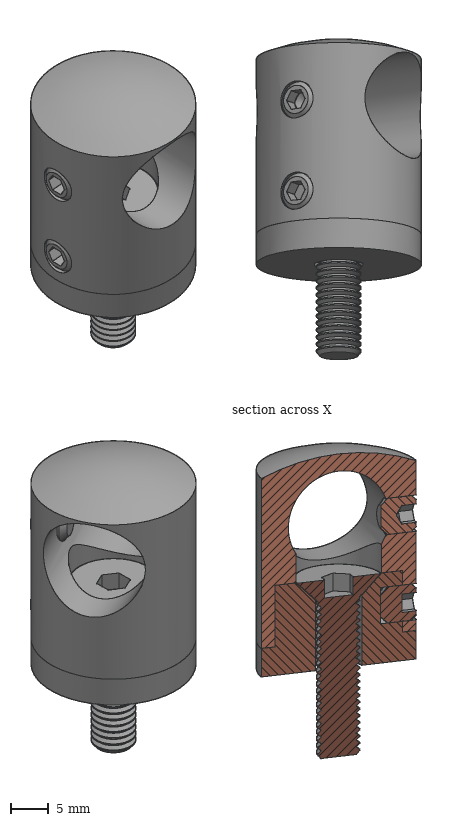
import cadquery as cq
import math

BODY_DIAMETER = 22.0
BODY_RADIUS = BODY_DIAMETER / 2
TOTAL_HEIGHT = 42.45
BASE_BOTTOM = 12.4
BASE_THICKNESS = 4.0
BASE_TOP = BASE_BOTTOM + BASE_THICKNESS
DOME_HEIGHT = 2.2
DOME_EDGE = TOTAL_HEIGHT - DOME_HEIGHT

CROSS_HOLE_DIAMETER = 14.2
CROSS_HOLE_HEIGHT = 32.85

SPIGOT_DIAMETER = 18.0
SPIGOT_TOP = 25.0
ACCESS_BORE_DIAMETER = 12.0

SCREW_HEAD_DIAMETER = 11.9
THREAD_DIAMETER = 6.0
THREAD_ROOT_DIAMETER = 5.0
CLEARANCE_DIAMETER = 6.5
SCREW_HEAD_HEIGHT = (SCREW_HEAD_DIAMETER - THREAD_DIAMETER) / 2
SCREW_HEX_FLATS = 4.0
SCREW_HEX_DEPTH = 2.5
EXPOSED_THREAD_LENGTH = 11.45
EXPOSED_THREAD_RINGS = 12
THREAD_PITCH = EXPOSED_THREAD_LENGTH / EXPOSED_THREAD_RINGS
CREST_WIDTH = 0.15
TIP_CHAMFER_HEIGHT = 0.55

SET_SCREW_DIAMETER = 5.0
SET_SCREW_LENGTH = 5.0
SET_SCREW_FACE_DIAMETER = 3.8
SET_SCREW_TIP_DIAMETER = 3.3
SET_SCREW_HEX_FLATS = 2.5
SET_SCREW_HEX_DEPTH = 2.0
SOCKET_CONE_DIAMETER = 2.7
SOCKET_CONE_DEPTH = 0.8
SET_SCREW_SPACING = 12.4
UPPER_SET_SCREW_HEIGHT = CROSS_HOLE_HEIGHT
LOWER_SET_SCREW_HEIGHT = UPPER_SET_SCREW_HEIGHT - SET_SCREW_SPACING


def cylinder_z(diameter, bottom, top):
    """Vertical cylinder on the main axis."""
    return cq.Workplane("XY").workplane(offset=bottom).circle(diameter / 2).extrude(top - bottom)


def hex_corner_diameter(flats):
    """Circumscribed diameter of a hexagon, from its width across flats."""
    return flats / math.cos(math.pi / 6)


def revolve_z(points):
    """Solid of revolution about Z from (radius, height) points."""
    return cq.Workplane("XZ").polyline(points).close().revolve(360, (0, 0), (0, 1))


def set_screw_hole(height):
    """Cylinder along Y that a set screw fills, from the front of the head to its tip."""
    front = cq.Workplane("XZ", origin=(0, -BODY_RADIUS, height))
    return front.circle(SET_SCREW_DIAMETER / 2).extrude(-SET_SCREW_LENGTH)


def make_head():
    """Domed cylinder with the cross hole, the stepped bore for the base and two set screw holes."""
    profile = (
        cq.Workplane("XZ")
        .moveTo(0, BASE_TOP)
        .lineTo(BODY_RADIUS, BASE_TOP)
        .lineTo(BODY_RADIUS, DOME_EDGE)
    )
    dome_radius = (BODY_RADIUS**2 + DOME_HEIGHT**2) / (2 * DOME_HEIGHT)
    half_angle = math.asin(BODY_RADIUS / dome_radius) / 2
    dome_middle = (
        dome_radius * math.sin(half_angle),
        TOTAL_HEIGHT - dome_radius * (1 - math.cos(half_angle)),
    )
    head = profile.threePointArc(dome_middle, (0, TOTAL_HEIGHT)).close().revolve(360, (0, 0), (0, 1))

    cross_hole = (
        cq.Workplane("YZ", origin=(0, 0, CROSS_HOLE_HEIGHT))
        .circle(CROSS_HOLE_DIAMETER / 2)
        .extrude(BODY_RADIUS, both=True)
    )
    head = head.cut(cross_hole)
    head = head.cut(cylinder_z(SPIGOT_DIAMETER, BASE_TOP, SPIGOT_TOP))
    head = head.cut(cylinder_z(ACCESS_BORE_DIAMETER, SPIGOT_TOP, CROSS_HOLE_HEIGHT))
    for height in (UPPER_SET_SCREW_HEIGHT, LOWER_SET_SCREW_HEIGHT):
        head = head.cut(set_screw_hole(height))
    return head


def make_base():
    """Disc with a spigot, countersunk for the mounting screw and drilled for the lower set screw."""
    base = cylinder_z(BODY_DIAMETER, BASE_BOTTOM, BASE_TOP)
    base = base.union(cylinder_z(SPIGOT_DIAMETER, BASE_TOP, SPIGOT_TOP))
    base = base.cut(cylinder_z(CLEARANCE_DIAMETER, BASE_BOTTOM, SPIGOT_TOP))
    head_radius = SCREW_HEAD_DIAMETER / 2
    countersink = revolve_z([(0, SPIGOT_TOP), (head_radius, SPIGOT_TOP), (0, SPIGOT_TOP - head_radius)])
    return base.cut(countersink).cut(set_screw_hole(LOWER_SET_SCREW_HEIGHT))


def make_mounting_screw():
    """Countersunk hex socket screw; its thread is a stack of equal rings."""
    head_radius = SCREW_HEAD_DIAMETER / 2
    crest_radius = THREAD_DIAMETER / 2
    root_radius = THREAD_ROOT_DIAMETER / 2
    head_bottom = SPIGOT_TOP - SCREW_HEAD_HEIGHT

    points = [(0, 0), (root_radius, 0)]
    crest_bottom = TIP_CHAMFER_HEIGHT
    while crest_bottom + THREAD_PITCH < head_bottom:
        crest_top = crest_bottom + CREST_WIDTH
        next_crest_bottom = crest_bottom + THREAD_PITCH
        points.append((crest_radius, crest_bottom))
        points.append((crest_radius, crest_top))
        points.append((root_radius, (crest_top + next_crest_bottom) / 2))
        crest_bottom = next_crest_bottom
    points.append((crest_radius, crest_bottom))
    points.append((crest_radius, head_bottom))
    points.append((head_radius, SPIGOT_TOP))
    points.append((0, SPIGOT_TOP))
    screw = revolve_z(points)

    socket = (
        cq.Workplane("XY", origin=(0, 0, SPIGOT_TOP))
        .polygon(6, hex_corner_diameter(SCREW_HEX_FLATS))
        .extrude(-SCREW_HEX_DEPTH)
    )
    return screw.cut(socket)


def make_set_screw(height, conical_socket):
    """Set screw with both ends chamfered and a hex socket, with or without a drill point."""
    radius = SET_SCREW_DIAMETER / 2
    face_radius = SET_SCREW_FACE_DIAMETER / 2
    tip_radius = SET_SCREW_TIP_DIAMETER / 2
    front_y = -BODY_RADIUS
    tip_y = front_y + SET_SCREW_LENGTH
    outline = [
        (0, front_y),
        (face_radius, front_y),
        (radius, front_y + radius - face_radius),
        (radius, tip_y - (radius - tip_radius)),
        (tip_radius, tip_y),
        (0, tip_y),
    ]
    screw = cq.Workplane("XY").polyline(outline).close().revolve(360, (0, 0), (0, 1))

    socket = (
        cq.Workplane("XZ", origin=(0, front_y, 0))
        .polygon(6, hex_corner_diameter(SET_SCREW_HEX_FLATS))
        .extrude(-SET_SCREW_HEX_DEPTH)
    )
    screw = screw.cut(socket)
    if conical_socket:
        floor_y = front_y + SET_SCREW_HEX_DEPTH
        cone_radius = SOCKET_CONE_DIAMETER / 2
        cone_points = [(0, floor_y), (cone_radius, floor_y), (0, floor_y + SOCKET_CONE_DEPTH)]
        screw = screw.cut(cq.Workplane("XY").polyline(cone_points).close().revolve(360, (0, 0), (0, 1)))
    return screw.translate((0, 0, height))


head = make_head()
base = make_base()
mounting_screw = make_mounting_screw()
set_screws = [
    make_set_screw(height, conical_socket)
    for height, conical_socket in ((UPPER_SET_SCREW_HEIGHT, True), (LOWER_SET_SCREW_HEIGHT, False))
]

result = cq.Compound.makeCompound(
    [head.val(), base.val(), mounting_screw.val(), *[screw.val() for screw in set_screws]]
)